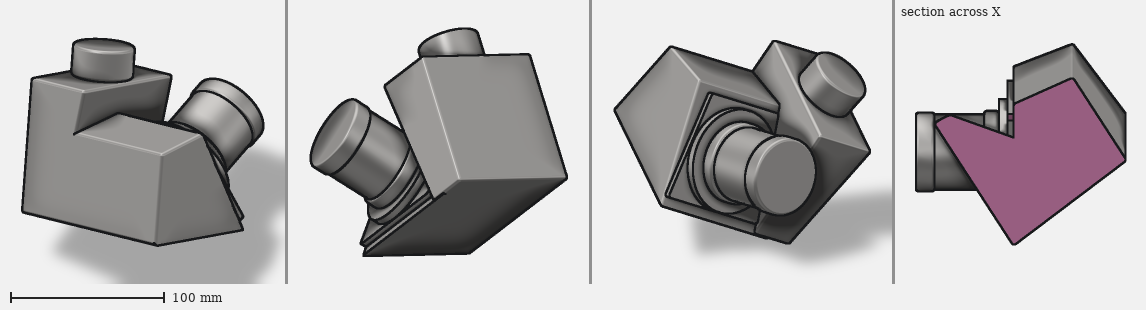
import cadquery as cq
import math

ROLL = 22.0

SECTION = 90.0
PITCH = math.radians(35.0)
LEFT = -74.19
RIGHT = 40.75
BOTTOM_BACK_Z = -41.59
TOWER_TOP_WIDTH = 46.1
TOWER_LEAN = math.radians(9.0)
LOW_FRONT_HEIGHT = 61.1
LOW_TOP_SLOPE = math.radians(22.5)
LOW_BLOCK_OVERLAP = 20.0
EDGE_RADIUS = 2.0

KNOB_OFFSET = TOWER_TOP_WIDTH / 2
KNOB_RADIUS = 20.2
KNOB_HEIGHT = 20.7

PLATE_THICKNESS = 3.9
PLATE_TOP_WIDTH = 59.5
PLATE_HEIGHT = 73.0
PLATE_CENTER_X = 0.56
PLATE_TOP_Z = 38.3
PLATE_DRAFT = math.radians(7.9)
PLATE_CORNER_RADIUS = 2.0
PAD_RADIUS = 34.5
PAD_THICKNESS = 5.5

COLLAR_RADIUS = 26.8
COLLAR_LENGTH = 9.6
TUBE_RADIUS = 24.6
TUBE_LENGTH = 32.2
CAP_RADIUS = 25.7
CAP_LENGTH = 12.2
RIM_RADIUS = 2.0

COLLAR_START = PLATE_THICKNESS + PAD_THICKNESS
TUBE_START = COLLAR_START + COLLAR_LENGTH
CAP_START = TUBE_START + TUBE_LENGTH

UP = (math.sin(PITCH), math.cos(PITCH))
BACK = (math.cos(PITCH), -math.sin(PITCH))


def offset(point, direction, distance):
    """The (Y, Z) point reached from `point` by going `distance` along `direction`."""
    return (point[0] + direction[0] * distance, point[1] + direction[1] * distance)


BOTTOM_BACK = (0.0, BOTTOM_BACK_Z)
BOTTOM_FRONT = offset(BOTTOM_BACK, BACK, -SECTION)
TOP_FRONT = offset(BOTTOM_FRONT, UP, SECTION)
TOP_MIDDLE = offset(TOP_FRONT, BACK, SECTION / 2)


def make_tower():
    """Full-height end of the housing; its inner wall leans so the tower widens upwards."""
    bottom_width = TOWER_TOP_WIDTH - SECTION * math.tan(TOWER_LEAN)
    front_plane = cq.Plane(
        origin=(LEFT, *BOTTOM_FRONT), xDir=(1, 0, 0), normal=(0, -BACK[0], -BACK[1])
    )
    return (
        cq.Workplane(front_plane)
        .polyline([(0, 0), (bottom_width, 0), (TOWER_TOP_WIDTH, SECTION), (0, SECTION)])
        .close()
        .extrude(-SECTION)
        .edges()
        .fillet(EDGE_RADIUS)
    )


def make_low_block():
    """Lower part of the housing, starting inside the tower; its bottom edges stay sharp
    at the back and at the right."""
    start = LEFT + LOW_BLOCK_OVERLAP
    low_front = offset(BOTTOM_FRONT, UP, LOW_FRONT_HEIGHT)
    low_back = (0.0, low_front[1] + low_front[0] * math.tan(LOW_TOP_SLOPE))
    margin = 1.0
    lowest_rounded_z = BOTTOM_BACK_Z + SECTION / 3
    rounded_edges = cq.selectors.BoxSelector(
        (start + margin, BOTTOM_FRONT[0] - margin, lowest_rounded_z),
        (RIGHT + margin, margin, low_front[1] + margin),
    )
    return (
        cq.Workplane("YZ", origin=(start, 0, 0))
        .polyline([BOTTOM_FRONT, BOTTOM_BACK, low_back, low_front])
        .close()
        .extrude(RIGHT - start)
        .edges(rounded_edges)
        .fillet(EDGE_RADIUS)
    )


def make_housing():
    return make_tower().union(make_low_block()).clean()


def make_knob():
    top_plane = cq.Plane(
        origin=(LEFT + KNOB_OFFSET, *TOP_MIDDLE), xDir=(1, 0, 0), normal=(0, *UP)
    )
    return (
        cq.Workplane(top_plane)
        .circle(KNOB_RADIUS)
        .extrude(KNOB_HEIGHT)
        .edges()
        .fillet(RIM_RADIUS)
    )


def axis_plane(y):
    """Sketch plane square to the eyepiece axis at `y`, facing +Y, with +X and -Z as its axes."""
    return cq.Plane(origin=(0, y, 0), xDir=(1, 0, 0), normal=(0, 1, 0))


def make_flange():
    half_top = PLATE_TOP_WIDTH / 2
    half_bottom = half_top + PLATE_HEIGHT * math.tan(PLATE_DRAFT)
    plate_bottom_z = PLATE_TOP_Z - PLATE_HEIGHT
    plate = (
        cq.Workplane(axis_plane(0))
        .polyline(
            [
                (PLATE_CENTER_X - half_top, -PLATE_TOP_Z),
                (PLATE_CENTER_X + half_top, -PLATE_TOP_Z),
                (PLATE_CENTER_X + half_bottom, -plate_bottom_z),
                (PLATE_CENTER_X - half_bottom, -plate_bottom_z),
            ]
        )
        .close()
        .extrude(PLATE_THICKNESS)
        .edges("|Y")
        .fillet(PLATE_CORNER_RADIUS)
    )
    pad = cq.Workplane(axis_plane(PLATE_THICKNESS)).circle(PAD_RADIUS).extrude(PAD_THICKNESS)
    return plate.union(pad)


def make_cylinder(start, radius, length):
    """Plain cylinder on the eyepiece axis, running towards +Y from `start`."""
    return cq.Workplane(axis_plane(start)).circle(radius).extrude(length)


housing = make_housing()
knob = make_knob()
flange = make_flange()
collar = make_cylinder(COLLAR_START, COLLAR_RADIUS, COLLAR_LENGTH).edges().fillet(RIM_RADIUS)
tube = make_cylinder(TUBE_START, TUBE_RADIUS, TUBE_LENGTH)
cap = make_cylinder(CAP_START, CAP_RADIUS, CAP_LENGTH).edges().fillet(RIM_RADIUS)

bodies = [housing, knob, flange, collar, tube, cap]
result = cq.Compound.makeCompound(
    [body.val().rotate(cq.Vector(0, 0, 0), cq.Vector(0, 1, 0), -ROLL) for body in bodies]
)